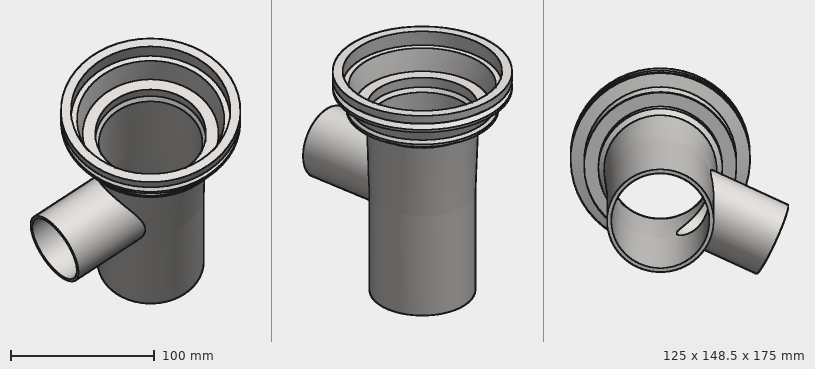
import cadquery as cq

height = 175.0
rim_radius = 125.0 / 2

neck_radius = 116.5 / 2
bowl_top_radius = 53.0
bowl_bottom_radius = 51.0
lip_radius = 106.0 / 2
collar_radius = 86.3 / 2
throat_radius = 39.2
pipe_radius = 74.2 / 2

rim_depth = 6.1
neck_depth = 9.0
ridge_top_depth = 11.2
ridge_bottom_depth = 13.3
bowl_top_depth = 15.2
bowl_bottom_depth = 26.0
lip_top_depth = 28.4
lip_depth = 30.3
collar_depth = 36.2
collar_chamfer_depth = 39.2
throat_depth = 95.0

mouth_radius = 111.0 / 2
mouth_depth = 11.0
cup_top_radius = 51.3
cup_floor_radius = 47.2
cup_floor_depth = 27.3
seat_radius = 77.0 / 2
seat_depth = 35.0
seat_chamfer_depth = 37.8
throat_bore_radius = 36.0
pipe_bore_radius = 68.2 / 2

branch_radius = 53.0 / 2
branch_bore_radius = 49.0 / 2
branch_depth = 88.2
branch_reach = 148.5 - rim_radius


def revolve_profile(profile):
    """Revolve (radius, depth below top) points about the vertical axis."""
    points = [(radius, height - depth) for radius, depth in profile]
    return cq.Workplane("XZ").polyline(points).close().revolve(360, (0, 0), (0, 1))


def branch_cylinder(radius):
    """Cylinder from the main axis out to the branch mouth on the -Y side."""
    plane = cq.Workplane("XZ").center(0, height - branch_depth)
    return plane.circle(radius).extrude(branch_reach)


outer_body = revolve_profile([
    (0, 0),
    (rim_radius, 0),
    (rim_radius, rim_depth),
    (neck_radius, rim_depth),
    (neck_radius, neck_depth),
    (rim_radius, ridge_top_depth),
    (rim_radius, ridge_bottom_depth),
    (bowl_top_radius, bowl_top_depth),
    (bowl_bottom_radius, bowl_bottom_depth),
    (lip_radius, lip_top_depth),
    (lip_radius, lip_depth),
    (collar_radius, lip_depth),
    (collar_radius, collar_depth),
    (throat_radius, collar_chamfer_depth),
    (pipe_radius, throat_depth),
    (pipe_radius, height),
    (0, height),
])

inner_bore = revolve_profile([
    (0, 0),
    (mouth_radius, 0),
    (mouth_radius, mouth_depth),
    (cup_top_radius, mouth_depth),
    (cup_floor_radius, cup_floor_depth),
    (seat_radius, cup_floor_depth),
    (seat_radius, seat_depth),
    (throat_bore_radius, seat_chamfer_depth),
    (pipe_bore_radius, throat_depth),
    (pipe_bore_radius, height),
    (0, height),
])

result = (
    outer_body
    .union(branch_cylinder(branch_radius))
    .cut(inner_bore)
    .cut(branch_cylinder(branch_bore_radius))
)